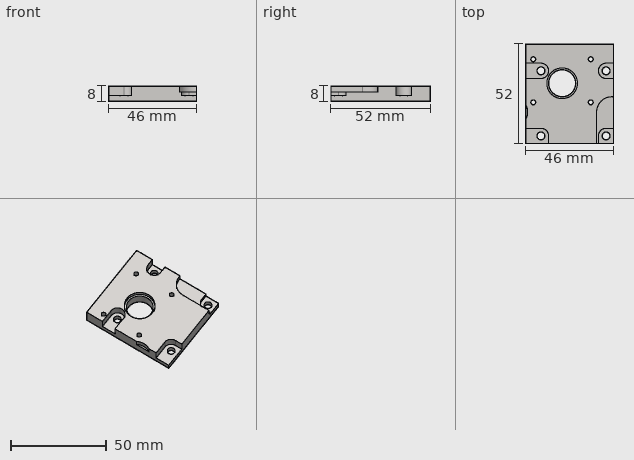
import cadquery as cq

width = 46.0
length = 52.0
thickness = 8.0

bore_x = 19.1
bore_y = 31.5
bore_diameter = 14.0
counterbore_diameter = 16.0
counterbore_depth = 2.0

small_diameter = 2.4
small_left = 4.0
small_spacing_x = 30.0
small_bottom = 21.55
small_spacing_y = 22.5

mount_diameter = 4.0
mount_left = 8.0
mount_bottom = 4.0
mount_spacing = 34.0
mount_floor = 3.0
pocket_radius = 4.0

clearance_radius = 8.0
clearance_offset = 26.0
clearance_x = 19.1
clearance_y = 16.5
clearance_depth = 3.0

small_xs = (small_left, small_left + small_spacing_x)
small_ys = (small_bottom, small_bottom + small_spacing_y)
mount_xs = (mount_left, mount_left + mount_spacing)
mount_ys = (mount_bottom, mount_bottom + mount_spacing)


def box_between(x0, x1, y0, y1, floor):
    """Box from the given floor height up to the top face."""
    size = (x1 - x0, y1 - y0, thickness - floor)
    return cq.Workplane("XY").box(*size, centered=False).translate((x0, y0, floor))


def disc(x, y, radius, floor):
    """Upright cylinder from the given floor height up to the top face."""
    height = thickness - floor
    return cq.Workplane("XY").circle(radius).extrude(height).translate((x, y, floor))


def mount_pocket(x, y):
    """Round-ended pocket that runs out to the nearest side edge."""
    edge_start, edge_end = (0, x) if x < width / 2 else (x, width)
    pocket = disc(x, y, pocket_radius, mount_floor)
    pocket = pocket.union(
        box_between(edge_start, edge_end, y - pocket_radius, y + pocket_radius, mount_floor)
    )
    if y == mount_bottom:
        pocket = pocket.union(box_between(x - pocket_radius, x + pocket_radius, 0, y, mount_floor))
    return pocket


result = cq.Workplane("XY").box(width, length, thickness, centered=False)

for mount_x in mount_xs:
    for mount_y in mount_ys:
        result = result.cut(mount_pocket(mount_x, mount_y))
        result = result.cut(disc(mount_x, mount_y, mount_diameter / 2, 0))

for small_x in small_xs:
    for small_y in small_ys:
        result = result.cut(disc(small_x, small_y, small_diameter / 2, 0))

result = result.cut(disc(bore_x, bore_y, bore_diameter / 2, 0))
result = result.cut(disc(bore_x, bore_y, counterbore_diameter / 2, thickness - counterbore_depth))

clearance_floor = thickness - clearance_depth
left_x = clearance_x - clearance_offset
right_x = clearance_x + clearance_offset
result = result.cut(disc(left_x, clearance_y, clearance_radius, clearance_floor))
result = result.cut(disc(right_x, clearance_y, clearance_radius, clearance_floor))
result = result.cut(
    box_between(right_x - clearance_radius, width, 0, clearance_y, clearance_floor)
)